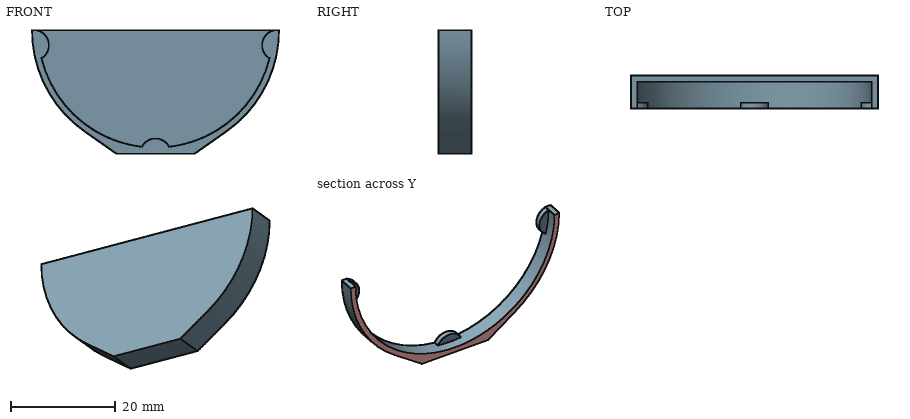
import cadquery as cq
import math

outer_radius = 23.75
depth = 6.4
back_thickness = 1.2
wall_thickness = 1.2
inner_radius = outer_radius - wall_thickness

foot_half_width = 7.5

tab_radius = 2.95
tab_thickness = 1.2
side_tab_x = 23.4
side_tab_z = -2.9
tab_centers = [
    (-side_tab_x, side_tab_z),
    (side_tab_x, side_tab_z),
    (0, -outer_radius),
]


def extrude_back(sketch, length):
    """Extrude an XZ sketch towards +Y."""
    return sketch.extrude(-length)


def make_body():
    """Half disc with a flat foot, filling the whole outline."""
    tangent_angle = 2 * math.atan(foot_half_width / outer_radius)
    tangent_x = outer_radius * math.sin(tangent_angle)
    tangent_z = -outer_radius * math.cos(tangent_angle)

    middle_angle = (math.pi / 2 + tangent_angle) / 2
    middle_x = outer_radius * math.sin(middle_angle)
    middle_z = -outer_radius * math.cos(middle_angle)

    outline = (
        cq.Workplane("XZ")
        .moveTo(-outer_radius, 0)
        .threePointArc((-middle_x, middle_z), (-tangent_x, tangent_z))
        .lineTo(-foot_half_width, -outer_radius)
        .lineTo(foot_half_width, -outer_radius)
        .lineTo(tangent_x, tangent_z)
        .threePointArc((middle_x, middle_z), (outer_radius, 0))
        .close()
    )
    return extrude_back(outline, depth)


def make_cavity():
    """Half-round pocket, open at the front and along the straight side."""
    outline = (
        cq.Workplane("XZ")
        .moveTo(-inner_radius, 0)
        .threePointArc((0, -inner_radius), (inner_radius, 0))
        .close()
    )
    return extrude_back(outline, depth - back_thickness)


def make_tabs(body):
    """Round tabs, trimmed to the outer outline of the body."""
    circles = cq.Workplane("XZ").pushPoints(tab_centers).circle(tab_radius)
    return extrude_back(circles, tab_thickness).intersect(body)


body = make_body()
result = body.cut(make_cavity()).union(make_tabs(body))